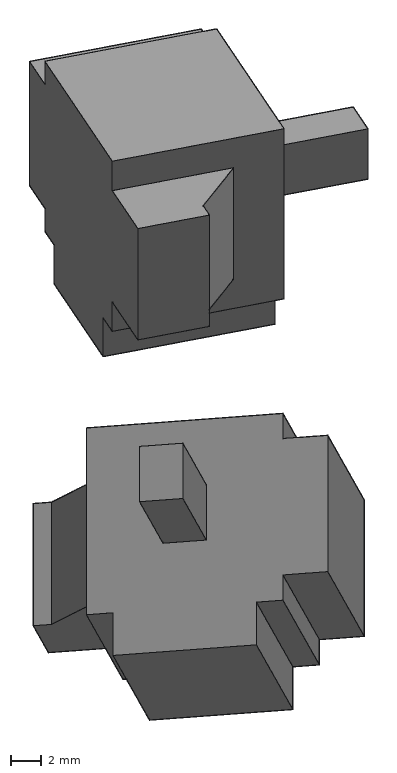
import cadquery as cq

CORE_SIZE = 13.19
HOUSING_DEPTH = 12.0
SIDE_BLOCK_LENGTH = 9.62
SIDE_BLOCK_HEIGHT = 3.0

BRACKET_REACH = 5.0
BRACKET_HEIGHT = 8.63
BRACKET_TIP_DEPTH = 5.0
BRACKET_ROOT_DEPTH = 8.48
BRACKET_TIP_FLAT = 1.23

PIN_WIDTH = 2.9
PIN_HEIGHT = 3.9
PIN_LENGTH = 7.7

HALF_CORE = CORE_SIZE / 2


def make_block(width, depth, height, x=0, y=0, z=0):
    """Box centred on x and z, running toward +Y from y."""
    return cq.Workplane("XY").box(width, depth, height, centered=(True, False, True)).translate((x, y, z))


def make_bracket():
    """Block on the +X side whose rear slopes down to a short flat tip."""
    tip_x = HALF_CORE + BRACKET_REACH
    return (
        cq.Workplane("XY")
        .workplane(offset=-BRACKET_HEIGHT / 2)
        .moveTo(HALF_CORE, 0)
        .lineTo(tip_x, 0)
        .lineTo(tip_x, BRACKET_TIP_DEPTH)
        .lineTo(tip_x - BRACKET_TIP_FLAT, BRACKET_TIP_DEPTH)
        .lineTo(HALF_CORE, BRACKET_ROOT_DEPTH)
        .close()
        .extrude(BRACKET_HEIGHT)
    )


def make_housing():
    """Square core with plain blocks on -X and -Z and the bracket on +X."""
    block_offset = HALF_CORE + SIDE_BLOCK_HEIGHT / 2
    core = make_block(CORE_SIZE, HOUSING_DEPTH, CORE_SIZE)
    left_block = make_block(SIDE_BLOCK_HEIGHT, HOUSING_DEPTH, SIDE_BLOCK_LENGTH, x=-block_offset)
    bottom_block = make_block(SIDE_BLOCK_LENGTH, HOUSING_DEPTH, SIDE_BLOCK_HEIGHT, z=-block_offset)
    return core.union(left_block).union(bottom_block).union(make_bracket())


def make_pin():
    """Rectangular pin standing on the rear face of the housing."""
    return make_block(PIN_WIDTH, PIN_LENGTH, PIN_HEIGHT, y=HOUSING_DEPTH)


housing = make_housing()
pin = make_pin()

result = cq.Compound.makeCompound([housing.val(), pin.val()])